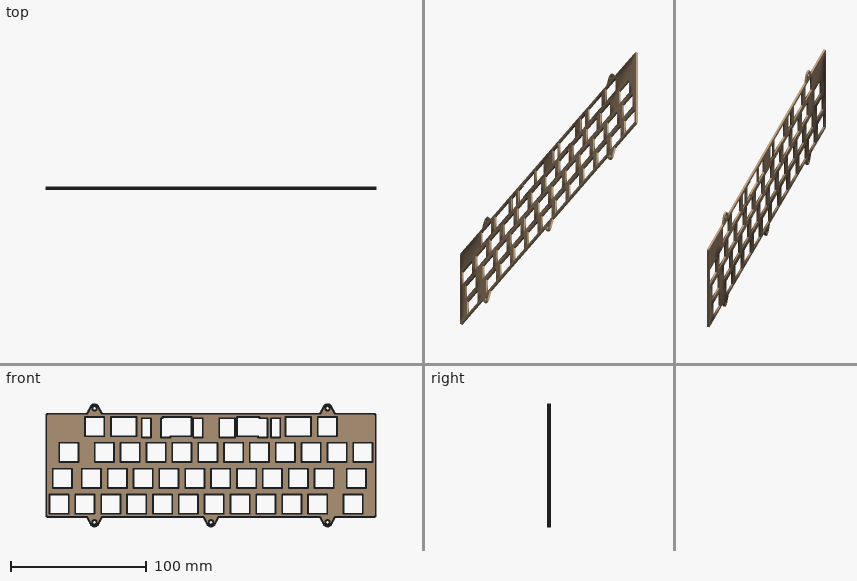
import cadquery as cq
import math

KEY_UNIT = 19.05
PLATE_UNITS_WIDE = 12.75
ROW_COUNT = 4
THICKNESS = 1.5
PLATE_WIDTH = PLATE_UNITS_WIDE * KEY_UNIT
PLATE_HEIGHT = ROW_COUNT * KEY_UNIT
CORNER_RADIUS = 1.5

SWITCH_SIZE = 14.0
SWITCH_ROWS = [
    [0.5 + key for key in range(11)] + [11.875],
    [0.625] + [1.75 + key for key in range(10)] + [12.0],
    [0.875] + [2.25 + key for key in range(11)],
    [1.875, 2.875, 3.125, 4.875, 5.25, 7.75, 7.875, 9.625, 9.875, 10.875],
]

STABILIZER_ROW = ROW_COUNT - 1
SLOT_WIDTH = 6.75
SLOT_HEIGHT = SWITCH_SIZE
SLOT_DROP = 0.85
SHORT_SLOT_OFFSET = 11.938
LONG_SLOT_OFFSET = KEY_UNIT
STABILIZED_KEYS = [
    (4.875, LONG_SLOT_OFFSET),
    (5.25, SHORT_SLOT_OFFSET),
    (7.75, SHORT_SLOT_OFFSET),
    (7.875, LONG_SLOT_OFFSET),
]

TAB_HEIGHT = 6.975
TAB_TIP_RADIUS = 3.1
TAB_BASE_HALF_WIDTH = 5.5
TAB_HOLE_DIAMETER = 3.2
TAB_OFFSET = 85.85
TOP_TABS = [-TAB_OFFSET, TAB_OFFSET]
BOTTOM_TABS = [-TAB_OFFSET, 0, TAB_OFFSET]


def key_x(units):
    return units * KEY_UNIT - PLATE_WIDTH / 2


def row_z(row):
    return (row + 0.5) * KEY_UNIT - PLATE_HEIGHT / 2


def front_plane():
    """Sketch plane on the front (-Y) face; extrude by a negative distance to go into the plate."""
    return cq.Workplane("XZ", origin=(0, -THICKNESS / 2, 0))


def make_plate():
    plate = front_plane().rect(PLATE_WIDTH, PLATE_HEIGHT).extrude(-THICKNESS)
    return plate.edges("|Y").fillet(CORNER_RADIUS)


def make_tab(x, side):
    """Screw tab at x on the top (side = 1) or bottom (side = -1) edge."""
    edge_z = side * PLATE_HEIGHT / 2
    center_height = TAB_HEIGHT - TAB_TIP_RADIUS
    base_distance = math.hypot(TAB_BASE_HALF_WIDTH, center_height)
    tangent_angle = math.acos(TAB_TIP_RADIUS / base_distance) - math.atan2(center_height, TAB_BASE_HALF_WIDTH)
    tangent_x = TAB_TIP_RADIUS * math.cos(tangent_angle)
    tangent_z = edge_z + side * (center_height + TAB_TIP_RADIUS * math.sin(tangent_angle))
    root_z = edge_z - side * CORNER_RADIUS
    return (
        front_plane()
        .moveTo(x - TAB_BASE_HALF_WIDTH, root_z)
        .lineTo(x - TAB_BASE_HALF_WIDTH, edge_z)
        .lineTo(x - tangent_x, tangent_z)
        .threePointArc((x, edge_z + side * TAB_HEIGHT), (x + tangent_x, tangent_z))
        .lineTo(x + TAB_BASE_HALF_WIDTH, edge_z)
        .lineTo(x + TAB_BASE_HALF_WIDTH, root_z)
        .close()
        .extrude(-THICKNESS)
    )


def make_tab_hole(x, side):
    hole_z = side * (PLATE_HEIGHT / 2 + TAB_HEIGHT - TAB_TIP_RADIUS)
    return front_plane().center(x, hole_z).circle(TAB_HOLE_DIAMETER / 2).extrude(-THICKNESS)


def make_window(x, z, width, height):
    return front_plane().center(x, z).rect(width, height).extrude(-THICKNESS)


tab_places = [(x, 1) for x in TOP_TABS] + [(x, -1) for x in BOTTOM_TABS]

result = make_plate()
for tab_x, tab_side in tab_places:
    result = result.union(make_tab(tab_x, tab_side))
for tab_x, tab_side in tab_places:
    result = result.cut(make_tab_hole(tab_x, tab_side))

for row, key_units in enumerate(SWITCH_ROWS):
    for units in key_units:
        result = result.cut(make_window(key_x(units), row_z(row), SWITCH_SIZE, SWITCH_SIZE))

slot_z = row_z(STABILIZER_ROW) - SLOT_DROP
for units, slot_offset in STABILIZED_KEYS:
    for slot_side in (-1, 1):
        slot_x = key_x(units) + slot_side * slot_offset
        result = result.cut(make_window(slot_x, slot_z, SLOT_WIDTH, SLOT_HEIGHT))